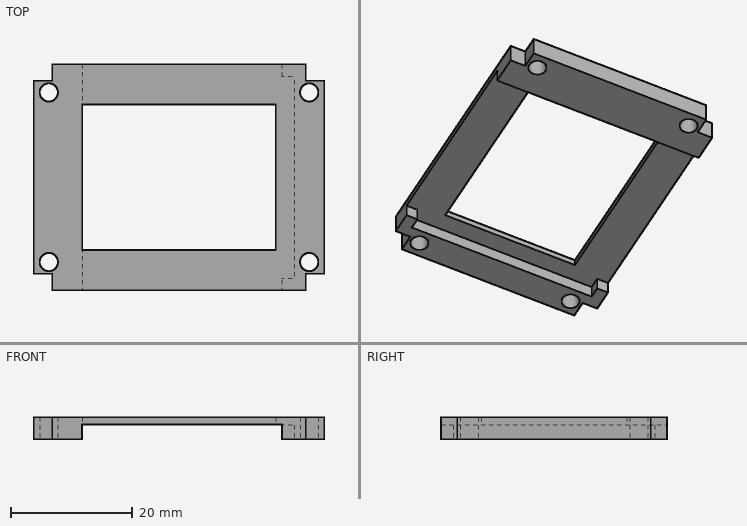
import cadquery as cq

length = 48.0
width = 37.3
height = 3.65

notch_x = 3.05
notch_y = 2.7

window_length = 31.9
window_width = 24.0

hole_diameter = 3.0
hole_spacing_x = 42.95
hole_spacing_y = 28.0

web_thickness = 1.25
left_rail_width = 8.0
right_rail_width = 7.0
channel_width = length - left_rail_width - right_rail_width
channel_depth = height - web_thickness
channel_center_x = (left_rail_width - right_rail_width) / 2

recess_wall_x = 5.0
recess_lip_y = 2.0
recess_length = length / 2 - recess_wall_x
recess_width = width - 2 * recess_lip_y


def block(size_x, size_y, size_z):
    """Box centred in X and Y, standing on Z = 0."""
    return cq.Workplane("XY").box(size_x, size_y, size_z, centered=(True, True, False))


plate = block(length, width - 2 * notch_y, height).union(
    block(length - 2 * notch_x, width, height)
)

window = block(window_length, window_width, height)
channel = block(channel_width, width, channel_depth).translate((channel_center_x, 0, 0))
recess = block(recess_length, recess_width, channel_depth).translate((recess_length / 2, 0, 0))
holes = (
    cq.Workplane("XY")
    .rarray(hole_spacing_x, hole_spacing_y, 2, 2)
    .circle(hole_diameter / 2)
    .extrude(height)
)

result = plate.cut(window).cut(channel).cut(recess).cut(holes)